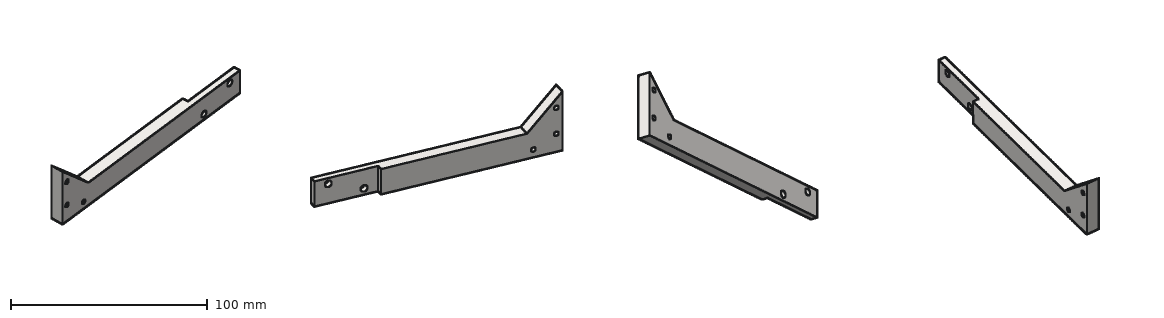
import cadquery as cq

length = 138.1
thickness = 7.5
height = 35.0
bar_height = 15.0
gusset_length = 20.0
tongue_length = 35.9
tongue_thickness = 4.0

mount_hole_diameter = 3.7
mount_holes = [(130.2, 11.6), (110.0, 3.7)]
gusset_hole_diameter = 2.5
gusset_holes = [(3.5, 26.1), (3.5, 10.8), (16.4, 4.7)]


def make_arm():
    """Flat arm with a sloped gusset rising to its front end."""
    return (
        cq.Workplane("YZ")
        .polyline([
            (0, 0),
            (length, 0),
            (length, bar_height),
            (gusset_length, bar_height),
            (0, height),
        ])
        .close()
        .extrude(thickness)
    )


def make_tongue_relief():
    """Block removed from the -X side to leave the thin rear tongue."""
    return cq.Workplane("XY").box(
        thickness - tongue_thickness, tongue_length, bar_height, centered=False
    ).translate((0, length - tongue_length, 0))


def make_holes(points, diameter):
    """Cylinders running through the full thickness along X."""
    return cq.Workplane("YZ").pushPoints(points).circle(diameter / 2).extrude(thickness)


result = (
    make_arm()
    .cut(make_tongue_relief())
    .cut(make_holes(mount_holes, mount_hole_diameter))
    .cut(make_holes(gusset_holes, gusset_hole_diameter))
)